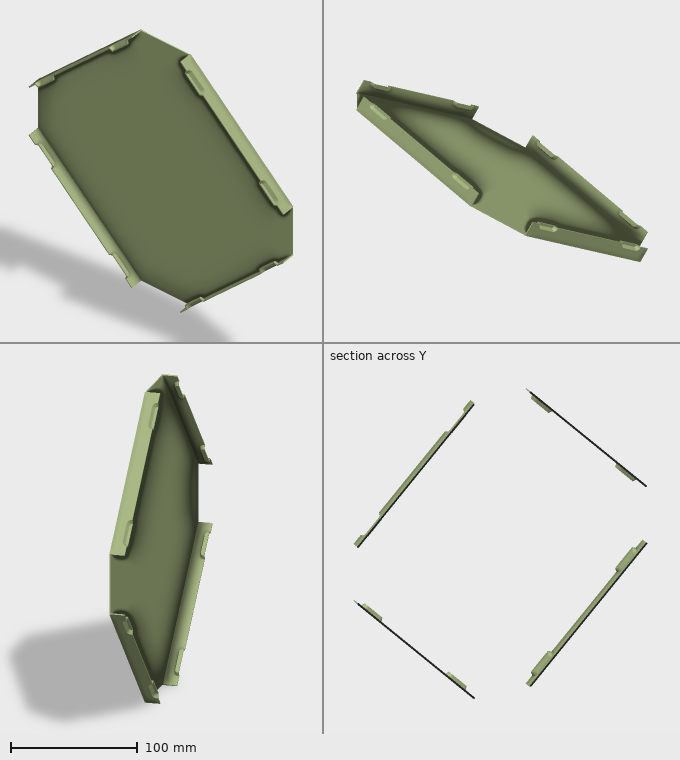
import cadquery as cq
import math

OVERALL_SIZE = 256.48
TRAY_DEPTH = 12.5
SHEET = 1.0
SQUARE_SIZE = 216.3

RECESS_PITCH = 105.4
RECESS_LENGTH = 23.0
RECESS_HEIGHT = 4.0
RECESS_DEPTH = 3.2
RECESS_INSET = 1.8
MOUTH_RADIUS = 3.7

HALF_SIZE = OVERALL_SIZE / 2
HALF_SQUARE = SQUARE_SIZE / 2
TIP_OFFSET = HALF_SQUARE * math.sqrt(2) - HALF_SIZE
CORNER_SETBACK = SHEET / math.sqrt(2)
FLANGE_LENGTH = (HALF_SIZE - TIP_OFFSET) * math.sqrt(2)
BACK_Y = TRAY_DEPTH / 2
RIM_Y = -BACK_Y
FLANGE_ANGLES = (45, 135, 225, 315)


def make_plate():
    """Square plate turned 45 degrees, its corners cut off level with the flanges' inner corners."""
    h = HALF_SIZE - CORNER_SETBACK
    c = TIP_OFFSET + CORNER_SETBACK
    outline = [(h, c), (c, h), (-c, h), (-h, c), (-h, -c), (-c, -h), (c, -h), (h, -c)]
    return (
        cq.Workplane("XZ", origin=(0, BACK_Y, 0))
        .polyline(outline)
        .close()
        .extrude(SHEET)
    )


def recess_outline(start, inset, growth):
    """Closed outline, open side on the rim, with rounded corners at the side away from the rim."""
    offset = growth - inset
    half_length = RECESS_LENGTH / 2 + offset
    top = RIM_Y + RECESS_HEIGHT + offset
    radius = MOUTH_RADIUS + offset
    arc_gap = radius * (1 - math.sqrt(0.5))
    return (
        start.moveTo(RIM_Y, -half_length)
        .lineTo(top - radius, -half_length)
        .threePointArc((top - arc_gap, -half_length + arc_gap), (top, -half_length + radius))
        .lineTo(top, half_length - radius)
        .threePointArc((top - arc_gap, half_length - arc_gap), (top - radius, half_length))
        .lineTo(RIM_Y, half_length)
        .close()
    )


def recess_solid(center_z, growth):
    """Tapered block of one recess on the +X flange, enlarged by growth on its closed sides."""
    mouth = recess_outline(cq.Workplane("YZ", origin=(HALF_SQUARE, 0, center_z)), 0, growth)
    floor_plane = mouth.workplane(offset=-(RECESS_DEPTH + growth))
    return recess_outline(floor_plane, RECESS_INSET, growth).loft(ruled=True)


def make_flange():
    """Flange on the +X side with both recesses formed in it."""
    flange = cq.Workplane("XY").box(SHEET, TRAY_DEPTH, FLANGE_LENGTH)
    flange = flange.translate((HALF_SQUARE - SHEET / 2, 0, 0))
    for center_z in (-RECESS_PITCH / 2, RECESS_PITCH / 2):
        flange = flange.union(recess_solid(center_z, SHEET))
        flange = flange.cut(recess_solid(center_z, 0))
    return flange


result = make_plate()
for angle in FLANGE_ANGLES:
    result = result.union(make_flange().rotate((0, 0, 0), (0, 1, 0), angle))